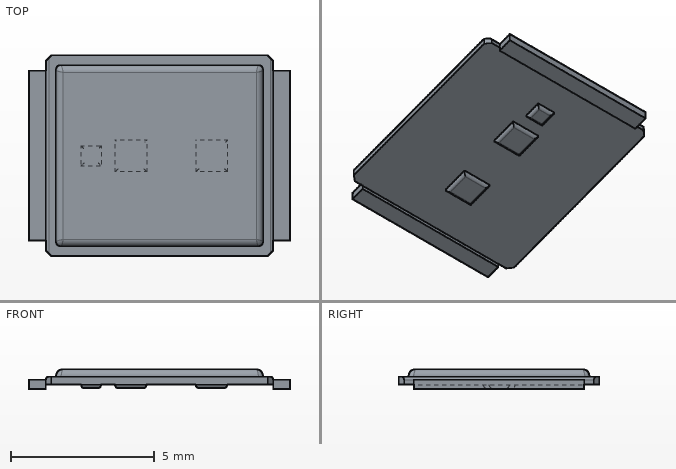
import cadquery as cq

overall_length = 9.1
overall_width = 7.0
overall_height = 0.7

lead_reach = 0.59
lead_width = 5.92
lead_height = 0.34

plate_length = overall_length - 2 * lead_reach
plate_width = overall_width
plate_bottom = 0.16
plate_edge_radius = 0.1
plate_top = lead_height + plate_edge_radius
plate_corner_chamfer = 0.19

lid_length = 7.22
lid_width = 6.31
lid_corner_radius = 0.16
lid_edge_radius = 0.25

pad_depth = 0.13
pad_edge_radius = 0.12
pads = [(-2.38, 0.7), (-1.0, 1.1), (1.81, 1.1)]


def box_between(length, width, bottom, top):
    """Box centred on X and Y, spanning bottom to top in Z."""
    return cq.Workplane("XY").workplane(offset=bottom).rect(length, width).extrude(top - bottom)


def make_plate():
    plate = box_between(plate_length, plate_width, plate_bottom, plate_top)
    plate = plate.faces(">Z").edges("|Y").fillet(plate_edge_radius)
    corner_cut = box_between(plate_length, plate_width, plate_bottom, plate_top)
    return plate.intersect(corner_cut.edges("|Z").chamfer(plate_corner_chamfer))


def make_lid():
    lid = box_between(lid_length, lid_width, plate_top, overall_height)
    lid = lid.edges("|Z").fillet(lid_corner_radius)
    return lid.faces(">Z").edges().fillet(lid_edge_radius)


def make_lead(side):
    lead = box_between(lead_reach, lead_width, 0, lead_height)
    return lead.translate((side * (overall_length - lead_reach) / 2, 0, 0))


def make_pad(center_x, size):
    pad = box_between(size, size, plate_bottom - pad_depth, plate_bottom)
    return pad.faces("<Z").edges().fillet(pad_edge_radius).translate((center_x, 0, 0))


result = make_plate().union(make_lid())
for side in (-1, 1):
    result = result.union(make_lead(side))
for center_x, size in pads:
    result = result.union(make_pad(center_x, size))